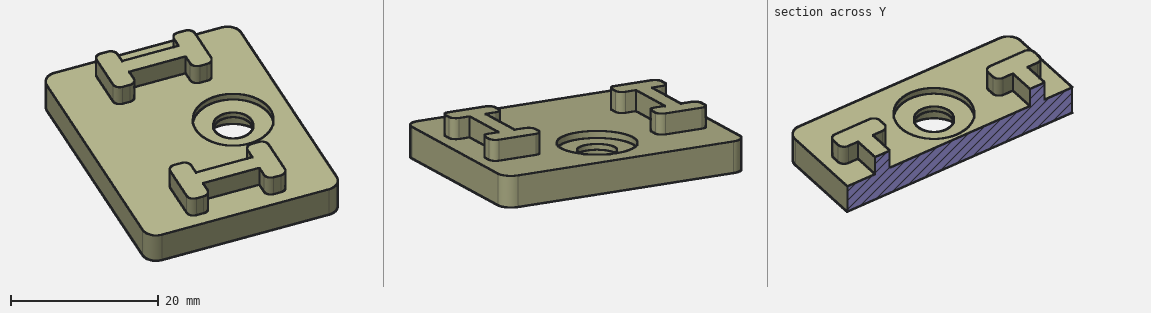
import cadquery as cq

PLATE_LENGTH = 37.3
PLATE_WIDTH = 28.7
PLATE_HEIGHT = 4.5
PLATE_CORNER_RADIUS = 2.0

BOSS_HEIGHT = 3.0
BOSS_WIDTH = 7.7
BOSS_LENGTH = 14.5
FLANGE_LENGTH = 3.1
FLANGE_CORNER_RADIUS = 1.0
WEB_WIDTH = 2.45
BOSS_OFFSET_X = 12.83
BOSS_CENTER_Y = -0.15

HOLE_CENTER_Y = 6.1
BORE_DIAMETER = 5.5
TOP_RECESS_DIAMETER = 11.0
UNDERSIDE_RECESS_DIAMETER = 9.0
TOP_RECESS_DEPTH = 1.0
BORE_LENGTH = 0.82


def make_plate():
    return (
        cq.Workplane("XY")
        .box(PLATE_LENGTH, PLATE_WIDTH, PLATE_HEIGHT, centered=(True, True, False))
        .edges("|Z")
        .fillet(PLATE_CORNER_RADIUS)
    )


def make_boss(center_x):
    """I-shaped boss: two rounded flanges joined by a straight web."""
    top_face = cq.Workplane("XY", origin=(center_x, BOSS_CENTER_Y, PLATE_HEIGHT))
    flange_offset = (BOSS_LENGTH - FLANGE_LENGTH) / 2
    flanges = (
        top_face.pushPoints([(0, -flange_offset), (0, flange_offset)])
        .rect(BOSS_WIDTH, FLANGE_LENGTH)
        .extrude(BOSS_HEIGHT)
        .edges("|Z")
        .fillet(FLANGE_CORNER_RADIUS)
    )
    web = top_face.rect(WEB_WIDTH, 2 * flange_offset).extrude(BOSS_HEIGHT)
    return flanges.union(web)


def make_hole_cutter():
    """Through bore with a shallow recess above it and a deep one below it."""
    underside_recess_depth = PLATE_HEIGHT - TOP_RECESS_DEPTH - BORE_LENGTH
    hole_axis = cq.Workplane("XY").center(0, HOLE_CENTER_Y)
    bore = hole_axis.circle(BORE_DIAMETER / 2).extrude(PLATE_HEIGHT)
    top_recess = (
        hole_axis.workplane(offset=PLATE_HEIGHT - TOP_RECESS_DEPTH)
        .circle(TOP_RECESS_DIAMETER / 2)
        .extrude(TOP_RECESS_DEPTH)
    )
    underside_recess = hole_axis.circle(UNDERSIDE_RECESS_DIAMETER / 2).extrude(underside_recess_depth)
    return bore.union(top_recess).union(underside_recess)


result = make_plate().cut(make_hole_cutter())
for boss_x in (-BOSS_OFFSET_X, BOSS_OFFSET_X):
    result = result.union(make_boss(boss_x))